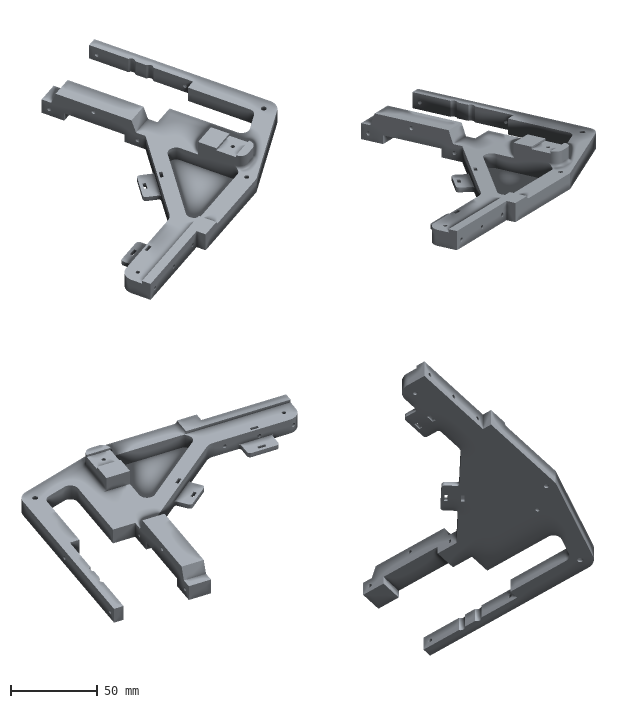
import cadquery as cq
import math

base_height = 10.0
ridge_height = 12.0
arm_height = 18.0
boss_height = 19.5
pocket_floor = 1.0
tab_thickness = 3.0

part_length = 144.4
part_width = 182.21
lean_angle = math.radians(18.17)
diagonal_angle = math.radians(50.0)
root_x = 69.0

frame_width = 12.4
upper_arm_width = frame_width / 2
slot_bottom = 147.9
lean_end_y = 116.1
frame_radius = 8.0
slot_radius = 5.0

lower_arm_bottom = 119.1
lower_arm_top = 133.5
arm_rise_foot = 6.3
arm_rise_shoulder = 9.3
underpass_x = (15.0, 55.0)
underpass_height = 5.5

leg_left = 117.8
leg_right = 138.4
leg_step_y = 55.2
leg_radius = 8.0
ridge_left = 132.7
ridge_end_y = 68.1
ridge_fillet = 2.0

beam_width = 9.5
pocket_radius = 5.0

boss_left = 104.0
boss_right = 134.4
boss_top_y = 134.5
boss_radius = 5.0
boss_fillet = 2.0
seat_x = (116.2, 129.2)
seat_height = 18.0

tab_length = 20.4
tab_reach = 10.4
tab_radius = 2.0
tab_flare = 1.5
tab_root_depth = 1.0
strap_slot_width = 2.0
strap_slot_length = 5.0
strap_slot_offsets = (7.4, -2.25)
leg_tab_y = 30.0
diagonal_tab_distance = 36.4

frame_hole = (116.9, 174.4, 3.5)
side_hole = (138.6, 114.8, 3.0)
leg_hole = (125.5, 8.0, 2.5)
boss_hole_diameter = 2.5
cross_hole_diameter = 2.5
arm_cross_holes = ((5.0, 4.5), (34.4, 14.0), (63.7, 4.5))
leg_cross_holes_y = (5.3, 27.85, 50.4)
leg_cross_hole_z = 5.0

notch_centres_x = (28.4, 40.4)
notch_radius = 2.5
notch_depth = 1.4


def box(x0, x1, y0, y1, z0, z1):
    """Box between two opposite corners."""
    return cq.Workplane("XY").box(x1 - x0, y1 - y0, z1 - z0, centered=False).translate((x0, y0, z0))


def vertical_hole(x, y, diameter):
    """Cutter for a hole through the full height."""
    return cq.Workplane("XY").center(x, y).circle(diameter / 2).extrude(boss_height)


def round_corner(body, x, y, radius):
    """Round the vertical edge that stands at (x, y)."""
    return body.edges(cq.selectors.NearestToPointSelector((x, y, base_height / 2))).fillet(radius)


def lean_x(y):
    """X of the sloping outer edge at a given Y."""
    return part_length - (y - lean_end_y) * math.tan(lean_angle)


def make_base():
    """Flat frame: upper arm, slot, lower arm, diagonal edge and leg."""
    slot_top = part_width - frame_width
    lean_wall = frame_width / math.cos(lean_angle)
    outer_corner = (lean_x(part_width), part_width)
    slot_top_corner = (lean_x(slot_top) - lean_wall, slot_top)
    slot_bottom_corner = (lean_x(slot_bottom) - lean_wall, slot_bottom)
    knee = (leg_left, lower_arm_bottom - (leg_left - root_x) * math.tan(diagonal_angle))
    outline = [
        (0, part_width),
        outer_corner,
        (part_length, lean_end_y),
        (part_length, leg_step_y),
        (leg_right, leg_step_y),
        (leg_right, 0),
        (leg_left, 0),
        knee,
        (root_x, lower_arm_bottom),
        (0, lower_arm_bottom),
        (0, lower_arm_top),
        (root_x, lower_arm_top),
        (root_x, slot_bottom),
        slot_bottom_corner,
        slot_top_corner,
        (root_x, slot_top),
        (root_x, part_width - upper_arm_width),
        (0, part_width - upper_arm_width),
    ]
    base = cq.Workplane("XY").polyline(outline).close().extrude(base_height)
    base = round_corner(base, *outer_corner, frame_radius)
    base = round_corner(base, *slot_top_corner, slot_radius)
    base = round_corner(base, *slot_bottom_corner, slot_radius)
    base = round_corner(base, leg_left, 0, leg_radius)
    return round_corner(base, *knee, leg_radius)


def make_arm_rise():
    """Trapezoidal raised part, centred on the length of the lower arm."""
    profile = [
        (arm_rise_foot, base_height),
        (arm_rise_shoulder, arm_height),
        (root_x - arm_rise_shoulder, arm_height),
        (root_x - arm_rise_foot, base_height),
    ]
    rise = cq.Workplane("XZ").polyline(profile).close().extrude(lower_arm_bottom - lower_arm_top)
    return rise.translate((0, lower_arm_bottom, 0))


def make_ridge():
    """Raised strip along the +X side of the leg, blended into the plate at its +Y end."""
    blend_mid = ridge_fillet * (1 - math.sqrt(0.5))
    strip = (
        cq.Workplane("YZ", origin=(ridge_left, 0, 0))
        .moveTo(0, base_height)
        .lineTo(0, ridge_height)
        .lineTo(ridge_end_y, ridge_height)
        .threePointArc(
            (ridge_end_y + blend_mid, base_height + blend_mid),
            (ridge_end_y + ridge_fillet, base_height),
        )
        .close()
        .extrude(part_length - ridge_left)
    )
    return strip.cut(box(leg_right, part_length, 0, leg_step_y, base_height, ridge_height))


def make_boss():
    """Boss with a rounded +X end, a lowered seat and a concave fillet at its foot.

    The blend is made on an overlong block, then trimmed so that the -X end stays flat.
    """
    foot_margin = 2 * boss_fillet
    slab = box(boss_left - 2 * foot_margin, boss_right + foot_margin,
               lower_arm_bottom - foot_margin, boss_top_y + foot_margin, 0, base_height)
    block = box(boss_left - foot_margin, boss_right, lower_arm_bottom, boss_top_y, base_height, boss_height)
    block = block.edges("|Z and >X").fillet(boss_radius)
    level_tolerance = 0.1
    foot_edges = cq.selectors.BoxSelector(
        (boss_left - foot_margin - boss_fillet, lower_arm_bottom - boss_fillet, base_height - level_tolerance),
        (boss_right + boss_fillet, boss_top_y + boss_fillet, base_height + level_tolerance),
    )
    blended = slab.union(block).edges(foot_edges).fillet(boss_fillet)
    boss = blended.intersect(
        box(boss_left, boss_right + foot_margin, lower_arm_bottom - foot_margin, boss_top_y + foot_margin,
            base_height, boss_height)
    )
    return boss.cut(box(*seat_x, lower_arm_bottom, boss_top_y, seat_height, boss_height))


def make_pocket():
    """Cutter for the triangular pocket beside the diagonal beam."""
    offset_y = lower_arm_bottom + beam_width / math.cos(diagonal_angle)
    drop = (ridge_left - root_x) * math.tan(diagonal_angle)
    left_x = root_x + beam_width / math.sin(diagonal_angle)
    corners = [
        (left_x, lower_arm_bottom),
        (ridge_left, lower_arm_bottom),
        (ridge_left, offset_y - drop),
    ]
    pocket = cq.Workplane("XY").workplane(offset=pocket_floor).polyline(corners).close().extrude(boss_height)
    return pocket.edges("|Z").fillet(pocket_radius)


def on_edge(shape, location):
    """Place a tab feature, drawn with outward as -X, on a beam edge."""
    x, y, turn = location
    return shape.rotate((0, 0, 0), (0, 0, 1), turn).translate((x, y, 0))


def make_tab():
    """Thin tab reaching out in -X, with flared roots where it leaves the beam edge."""
    half = tab_length / 2
    plate = box(-tab_reach, tab_root_depth, -half, half, 0, tab_thickness).edges("|Z and <X").fillet(tab_radius)
    for side in (1, -1):
        flare = (
            cq.Workplane("XY")
            .moveTo(tab_root_depth, side * half)
            .lineTo(tab_root_depth, side * (half + tab_flare))
            .lineTo(0, side * (half + tab_flare))
            .radiusArc((-tab_flare, side * half), side * tab_flare)
            .close()
            .extrude(tab_thickness)
        )
        plate = plate.union(flare)
    return plate


def make_strap_slots():
    """Cutters for the pair of strap slots on either side of the beam edge."""
    return (
        cq.Workplane("XY")
        .pushPoints([(-offset, 0) for offset in strap_slot_offsets])
        .rect(strap_slot_width, strap_slot_length)
        .extrude(boss_height)
    )


diagonal_tab_location = (
    root_x + diagonal_tab_distance * math.cos(diagonal_angle),
    lower_arm_bottom - diagonal_tab_distance * math.sin(diagonal_angle),
    90 - math.degrees(diagonal_angle),
)
tab_locations = (diagonal_tab_location, (leg_left, leg_tab_y, 0))

result = make_base().union(make_arm_rise()).union(make_ridge()).union(make_boss()).cut(make_pocket())

for location in tab_locations:
    result = result.union(on_edge(make_tab(), location))
    result = result.cut(on_edge(make_strap_slots(), location))

result = result.cut(box(*underpass_x, lower_arm_bottom, lower_arm_top, 0, underpass_height))

notch_centre_y = part_width - upper_arm_width + notch_depth - notch_radius
for notch_x in notch_centres_x:
    result = result.cut(vertical_hole(notch_x, notch_centre_y, 2 * notch_radius))

boss_hole = (sum(seat_x) / 2, (lower_arm_bottom + boss_top_y) / 2, boss_hole_diameter)
for hole in (frame_hole, side_hole, leg_hole, boss_hole):
    result = result.cut(vertical_hole(*hole))

for hole_x, hole_z in arm_cross_holes:
    drill = cq.Workplane("XZ").center(hole_x, hole_z).circle(cross_hole_diameter / 2).extrude(-part_width)
    result = result.cut(drill)

for hole_y in leg_cross_holes_y:
    drill = (
        cq.Workplane("YZ", origin=(leg_left - tab_reach, 0, 0))
        .center(hole_y, leg_cross_hole_z)
        .circle(cross_hole_diameter / 2)
        .extrude(part_length)
    )
    result = result.cut(drill)